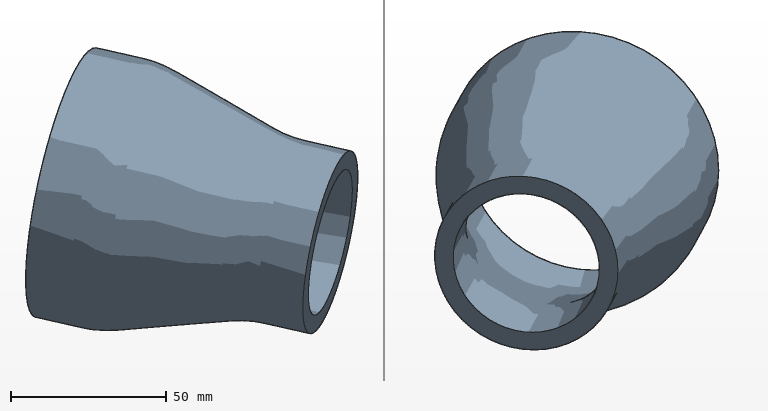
import cadquery as cq
import math

LENGTH = 89.0
LARGE_RADIUS = 44.5
SMALL_RADIUS = 30.2
WALL = 6.1
COLLAR_LENGTH = 15.1
BEND_TANGENT = 6.05

large_bend_start = COLLAR_LENGTH
small_bend_end = LENGTH - COLLAR_LENGTH
corner_distance = small_bend_end - large_bend_start - 2 * BEND_TANGENT
cone_angle = math.atan2(LARGE_RADIUS - SMALL_RADIUS, corner_distance)
outer_bend_radius = BEND_TANGENT / math.tan(cone_angle / 2)


def bend_offset(bend_radius, angle):
    """Axial travel and radius change after turning through an angle of a bend."""
    return bend_radius * math.sin(angle), bend_radius * (1 - math.cos(angle))


def solid_reducer(inset):
    """Solid reducer whose surface lies the given distance inside the outside."""
    large_radius = LARGE_RADIUS - inset
    small_radius = SMALL_RADIUS - inset

    convex_radius = outer_bend_radius - inset
    concave_radius = outer_bend_radius + inset

    def convex_point(angle):
        travel, drop = bend_offset(convex_radius, angle)
        return large_bend_start + travel, large_radius - drop

    def concave_point(angle):
        travel, rise = bend_offset(concave_radius, angle)
        return small_bend_end - travel, small_radius + rise

    profile = (
        cq.Workplane("XY")
        .lineTo(0, large_radius)
        .lineTo(large_bend_start, large_radius)
        .threePointArc(convex_point(cone_angle / 2), convex_point(cone_angle))
        .lineTo(*concave_point(cone_angle))
        .threePointArc(concave_point(cone_angle / 2), (small_bend_end, small_radius))
        .lineTo(LENGTH, small_radius)
        .lineTo(LENGTH, 0)
        .close()
    )
    return profile.revolve(360, (0, 0, 0), (1, 0, 0))


outside = solid_reducer(0)
bore = solid_reducer(WALL)
result = outside.cut(bore)